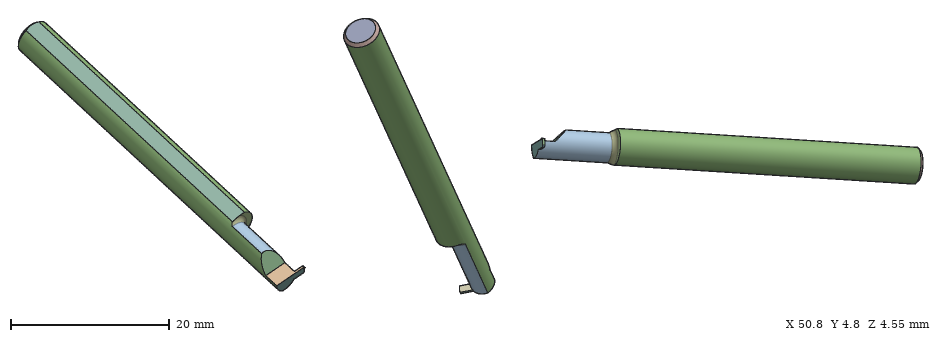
import cadquery as cq

total_length = 50.8
shank_radius = 2.4
flat_height = 2.15
rear_chamfer = 0.4
shoulder_x = 40.35

neck_radius = 1.95
neck_side_y = 0.8
neck_axis_y = neck_side_y - neck_radius
neck_fillet = 0.6

ramp_end_x = 48.5
ramp_size = 2 * shank_radius

tooth_width = 0.3
tooth_tip_y = 2.25
tooth_depth = 1.1
tip_relief = 0.15
tip_height = 0.25
end_x = total_length - tip_relief
tooth_back_x = end_x - tooth_width


def rod(radius, start_x, end, axis_y=0.0):
    """Cylinder along X between two stations."""
    return (
        cq.Workplane("YZ", origin=(start_x, axis_y, 0))
        .circle(radius)
        .extrude(end - start_x)
    )


def cut_flat(body):
    """Remove everything above the clamping flat."""
    above_flat = (
        cq.Workplane("XY", origin=(0, 0, flat_height))
        .rect(2 * total_length, 2 * shank_radius)
        .extrude(shank_radius)
    )
    return body.cut(above_flat)


def make_shank():
    return cut_flat(rod(shank_radius, 0, shoulder_x).faces("<X").chamfer(rear_chamfer))


def make_neck():
    """Offset cylinder with a concave fillet at the shoulder, kept inside the shank."""
    fillet_end_x = shoulder_x + neck_fillet
    neck = (
        cq.Workplane("XY", origin=(0, neck_axis_y, 0))
        .moveTo(shoulder_x, 0)
        .lineTo(shoulder_x, neck_radius + neck_fillet)
        .radiusArc((fillet_end_x, neck_radius), -neck_fillet)
        .lineTo(end_x, neck_radius)
        .lineTo(end_x, 0)
        .close()
        .revolve(360, (0, 0, 0), (1, 0, 0))
    )
    return cut_flat(neck.intersect(rod(shank_radius, shoulder_x, end_x)))


def make_head_cut():
    """Everything above the ramp and the cutting plane."""
    return (
        cq.Workplane("XZ")
        .moveTo(ramp_end_x, 0)
        .lineTo(total_length, 0)
        .lineTo(total_length, ramp_size)
        .lineTo(ramp_end_x - ramp_size, ramp_size)
        .close()
        .extrude(shank_radius, both=True)
    )


def make_tooth():
    """Thin plate with a small wedge that leans forward past the end face."""
    plate = (
        cq.Workplane("XY")
        .moveTo(tooth_back_x, neck_axis_y)
        .lineTo(end_x, neck_axis_y)
        .lineTo(end_x, tooth_tip_y)
        .lineTo(tooth_back_x, tooth_tip_y)
        .close()
        .extrude(-tooth_depth)
    )
    tip = (
        cq.Workplane("XZ", origin=(0, tooth_tip_y, 0))
        .moveTo(end_x, 0)
        .lineTo(total_length, 0)
        .lineTo(end_x, -tip_height)
        .close()
        .extrude(tip_relief)
    )
    return plate.union(tip).intersect(rod(shank_radius, tooth_back_x, total_length))


result = make_shank().union(make_neck().cut(make_head_cut())).union(make_tooth())